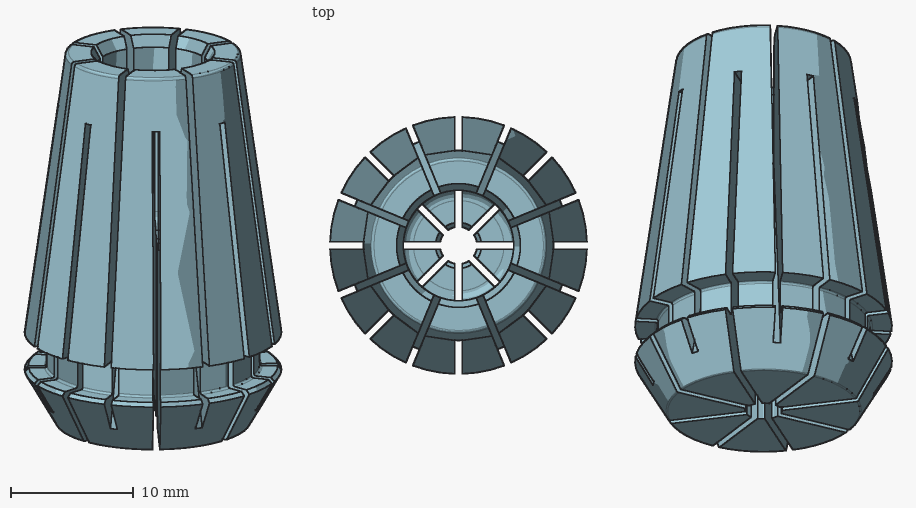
import cadquery as cq
import math

length = 31.5
max_radius = 10.5
body_taper = 8.0
nose_taper = 30.0
top_fillet = 0.25
nose_fillet = 0.15

groove_bottom = 4.75
groove_top = 7.62
groove_radius = 8.7
groove_fillet = 0.2
nose_rim_chamfer = 0.3

grip_radius = 1.5
relief_radius = 4.5
relief_floor = 15.75
relief_fillet = 0.82
lead_in_angle = 30.0
mouth_lead_in = 0.95
grip_lead_in = 0.63

slots_per_set = 8
slot_pitch = 360.0 / slots_per_set
slot_width = 0.6
front_slot_top = 27.1
rear_slot_bottom = 1.95
rear_slot_slant = 14.0

overrun = 1.58

pick_margin = 0.003


def taper(angle):
    """Radius change per unit of height for a cone of the given half angle."""
    return math.tan(math.radians(angle))


nose_rim_height = groove_bottom - nose_rim_chamfer
nose_radius = max_radius - nose_rim_height * taper(nose_taper)
top_radius = max_radius - (length - groove_top) * taper(body_taper)


def revolve_profile(points):
    """Revolve a closed (radius, height) outline about the Z axis."""
    return cq.Workplane("XZ").polyline(points).close().revolve(360, (0, 0, 0), (0, 1, 0))


def edges_within(radius, height):
    """Selector for edges at the given height that fit in a square of half side radius."""
    low = (-radius, -radius, height - pick_margin)
    high = (radius, radius, height + pick_margin)
    return cq.selectors.BoxSelector(low, high, boundingbox=True)


def ring_edges(solid, radius, height):
    """Select the circular edge of the given radius and height."""
    up_to_ring = edges_within(radius + pick_margin, height)
    inside_ring = edges_within(radius - pick_margin, height)
    return solid.edges(up_to_ring - inside_ring)


def make_body():
    body = revolve_profile([
        (0, 0),
        (nose_radius, 0),
        (max_radius, nose_rim_height),
        (max_radius - nose_rim_chamfer, groove_bottom),
        (groove_radius, groove_bottom),
        (groove_radius, groove_top),
        (max_radius, groove_top),
        (top_radius, length),
        (0, length),
    ])
    body = ring_edges(body, nose_radius, 0).fillet(nose_fillet)
    body = ring_edges(body, groove_radius, groove_bottom).fillet(groove_fillet)
    body = ring_edges(body, groove_radius, groove_top).fillet(groove_fillet)
    return ring_edges(body, top_radius, length).fillet(top_fillet)


def make_bore():
    mouth_radius = relief_radius + mouth_lead_in * taper(lead_in_angle)
    grip_mouth_radius = grip_radius + grip_lead_in * taper(lead_in_angle)
    bore = revolve_profile([
        (0, 0),
        (grip_radius, 0),
        (grip_radius, relief_floor - grip_lead_in),
        (grip_mouth_radius, relief_floor),
        (relief_radius, relief_floor),
        (relief_radius, length - mouth_lead_in),
        (mouth_radius, length),
        (0, length),
    ])
    return ring_edges(bore, relief_radius, relief_floor).fillet(relief_fillet)


def slot_cutter(outline, angle):
    """Thin plate standing on a radial plane, turned about Z by the given angle."""
    plate = cq.Workplane("XZ").polyline(outline).close().extrude(slot_width / 2, both=True)
    return plate.rotate((0, 0, 0), (0, 0, 1), angle)


def front_slot_outline():
    reach = max_radius + overrun
    return [(0, -overrun), (reach, -overrun), (reach, front_slot_top), (0, front_slot_top)]


def rear_slot_outline():
    root_bottom_radius = nose_radius + rear_slot_bottom * taper(nose_taper)
    outer_radius = max_radius + overrun
    top = length + overrun
    root_top_radius = root_bottom_radius - (top - rear_slot_bottom) * taper(rear_slot_slant)
    return [
        (root_bottom_radius, rear_slot_bottom),
        (outer_radius, rear_slot_bottom),
        (outer_radius, top),
        (root_top_radius, top),
    ]


result = make_body().cut(make_bore())
for index in range(slots_per_set):
    front_angle = index * slot_pitch
    rear_angle = front_angle + slot_pitch / 2
    result = result.cut(slot_cutter(front_slot_outline(), front_angle))
    result = result.cut(slot_cutter(rear_slot_outline(), rear_angle))